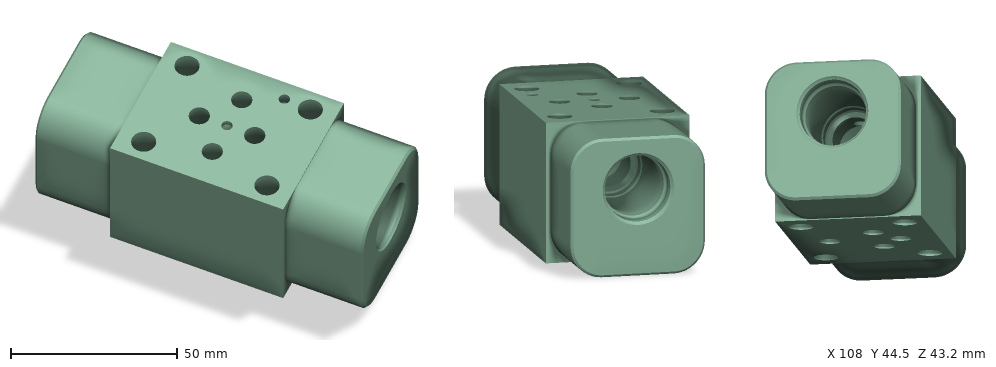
import cadquery as cq
import math

overall_length = 108.0
block_length = 57.0
block_width = 44.5
block_height = 43.2
top_z = block_height / 2

cap_width = 41.6
cap_height = 42.5
cap_corner_radius = 9.7
cap_edge_chamfer = 0.8

bore_z = 5.4
mouth_radius = 11.0
lip_radius = 10.7
lip_depth = 0.4
thread_radius = 10.1
thread_depth = 4.7
guide_radius = 9.4
guide_start = 6.0
guide_depth = 32.4
seal_radius = 9.0
seal_start = guide_depth + (guide_radius - seal_radius)
seal_length = 3.2
seal_depth = seal_start + seal_length
seat_outer_radius = 8.4
seat_depth = seal_depth + (seal_radius - seat_outer_radius)
inner_radius = 6.8
inner_depth = 47.7
drill_half_angle = 59.0

mount_spacing_x = 40.6
mount_spacing_y = 31.7
mount_diameter = 7.6
port_diameter = 6.4
straight_port_spacing = 21.6
angled_port_spacing = 18.2
port_bend_y = 2.43
port_exit_y = 4.1
drill_overrun = 2.2
pin_diameter = 3.5
centre_pin_depth = 1.6
corner_pin_depth = 3.8
corner_pin_x = 11.5
corner_pin_y = 16.3


def tip_length(radius):
    """Length of the conical tip left by a drill of the given radius."""
    return radius / math.tan(math.radians(drill_half_angle))


def body():
    """Central block with the rounded, chamfered caps on both ends."""
    caps = (
        cq.Workplane("YZ")
        .rect(cap_width, cap_height)
        .extrude(overall_length / 2, both=True)
        .edges("|X")
        .fillet(cap_corner_radius)
        .faces("<X or >X")
        .chamfer(cap_edge_chamfer)
    )
    return cq.Workplane("XY").box(block_length, block_width, block_height).union(caps)


def left_bore():
    """Stepped cartridge bore entering the -X end, revolved about its own axis."""
    profile = [
        (0, mouth_radius),
        (lip_depth, lip_radius),
        (lip_depth + lip_radius - thread_radius, thread_radius),
        (thread_depth, thread_radius),
        (guide_start, guide_radius),
        (guide_depth, guide_radius),
        (seal_start, seal_radius),
        (seal_depth, seal_radius),
        (seat_depth, seat_outer_radius),
        (seat_depth, inner_radius),
        (inner_depth, inner_radius),
        (inner_depth + tip_length(inner_radius), 0),
    ]
    return (
        cq.Workplane("XZ")
        .polyline([(0, 0)] + profile)
        .close()
        .revolve(360, (0, 0), (1, 0))
        .translate((-overall_length / 2, 0, bore_z))
    )


def through_holes():
    """Four mounting holes and the two straight ports."""
    mounts = (
        cq.Workplane("XY")
        .rect(mount_spacing_x, mount_spacing_y, forConstruction=True)
        .vertices()
        .circle(mount_diameter / 2)
        .extrude(top_z, both=True)
    )
    ports = (
        cq.Workplane("XY")
        .rarray(1.1, straight_port_spacing, 1, 2)
        .circle(port_diameter / 2)
        .extrude(top_z, both=True)
    )
    return mounts.union(ports)


def slanted_drilling(x, y_outer, z_outer):
    """Round drilling from the bore axis to a point on the top or bottom face, run past that face."""
    bend = cq.Vector(x, port_bend_y, bore_z)
    path = cq.Vector(x, y_outer, z_outer) - bend
    length = path.Length + drill_overrun
    return cq.Workplane(cq.Solid.makeCylinder(port_diameter / 2, length, bend, path))


def pin_hole(x, y, depth):
    """Blind hole with a conical tip, drilled into the top face."""
    radius = pin_diameter / 2
    return (
        cq.Workplane("XZ")
        .polyline([(0, 0), (radius, 0), (radius, -depth), (0, -depth - tip_length(radius))])
        .close()
        .revolve(360, (0, 0), (0, 1))
        .translate((x, y, top_z))
    )


result = body().cut(left_bore()).cut(left_bore().mirror("YZ")).cut(through_holes())

for port_x in (-angled_port_spacing / 2, angled_port_spacing / 2):
    result = result.cut(slanted_drilling(port_x, 0, top_z))
    result = result.cut(slanted_drilling(port_x, port_exit_y, -top_z))

result = result.cut(pin_hole(0, 0, centre_pin_depth))
result = result.cut(pin_hole(corner_pin_x, corner_pin_y, corner_pin_depth))